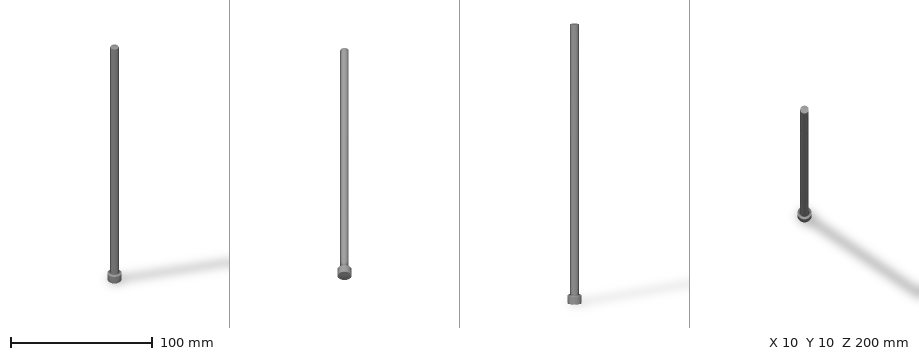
import cadquery as cq

total_length = 200.0
head_diameter = 10.0
head_height = 6.0
shank_diameter = 6.0
neck_fillet = 0.5
head_edge_break = 0.2

head_radius = head_diameter / 2
shank_radius = shank_diameter / 2

head = (
    cq.Workplane("XY")
    .circle(head_radius)
    .extrude(head_height)
    .faces("<Z or >Z")
    .edges()
    .chamfer(head_edge_break)
)

shank = cq.Workplane("XY").circle(shank_radius).extrude(total_length)

fillet_ring = (
    cq.Workplane("XZ")
    .moveTo(shank_radius, head_height)
    .lineTo(shank_radius + neck_fillet, head_height)
    .radiusArc((shank_radius, head_height + neck_fillet), neck_fillet)
    .close()
    .revolve(360, (0, 0, 0), (0, 1, 0))
)

result = head.union(shank).union(fillet_ring)